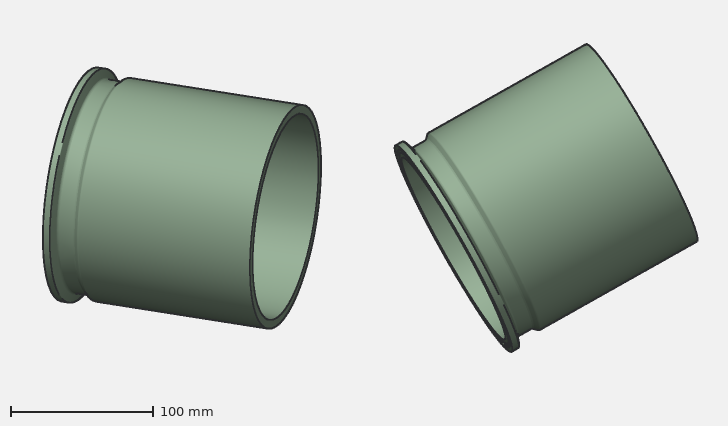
import cadquery as cq
import math

length = 152.4
bore_radius = 146.9 / 2
tube_radius = 159.5 / 2
neck_radius = 152.4 / 2
flange_radius = 166.9 / 2

rim_width = 5.7
flange_taper_angle = 20
rim_fillet = 0.7
neck_fillet = 1.7

shoulder_start = 20.9
shoulder_fillet = 1.8

groove_radius = 78.3
groove_width = 2.8
groove_depth = 1.2
groove_mouth_fillet = 0.7

MATCH_TOLERANCE = 0.02

flange_root = rim_width + (flange_radius - neck_radius) * math.tan(math.radians(flange_taper_angle))
shoulder_end = shoulder_start + tube_radius - neck_radius
groove_inner_radius = groove_radius - groove_width / 2
groove_outer_radius = groove_radius + groove_width / 2


def revolve_about_axis(outline):
    """Turn a closed outline, drawn as X against radius, about the X axis."""
    return outline.revolve(360, (0, 0, 0), (1, 0, 0))


def fillet_circle(body, x, radius, fillet):
    """Round the circular edge of the given radius that lies at position x."""
    matching = [
        edge
        for edge in body.edges("%CIRCLE").vals()
        if math.isclose(edge.Center().x, x, abs_tol=MATCH_TOLERANCE)
        and math.isclose(edge.radius(), radius, abs_tol=MATCH_TOLERANCE)
    ]
    return body.newObject(matching).fillet(fillet)


def ferrule_body():
    """Tube with the clamp flange, neck and shoulder, all edges still sharp."""
    outline = cq.Workplane("XY").polyline([
        (0, bore_radius),
        (0, flange_radius),
        (rim_width, flange_radius),
        (flange_root, neck_radius),
        (shoulder_start, neck_radius),
        (shoulder_end, tube_radius),
        (length, tube_radius),
        (length, bore_radius),
    ]).close()
    return revolve_about_axis(outline)


def gasket_groove():
    """Ring with an arc-shaped section, deepest midway across the groove."""
    section = (
        cq.Workplane("XY")
        .moveTo(0, groove_inner_radius)
        .threePointArc((groove_depth, groove_radius), (0, groove_outer_radius))
        .close()
    )
    return revolve_about_axis(section)


rounded_edges = [
    (rim_width, flange_radius, rim_fillet),
    (flange_root, neck_radius, neck_fillet),
    (shoulder_start, neck_radius, shoulder_fillet),
    (shoulder_end, tube_radius, shoulder_fillet),
    (0, groove_inner_radius, groove_mouth_fillet),
    (0, groove_outer_radius, groove_mouth_fillet),
]

result = ferrule_body().cut(gasket_groove())
for x, radius, fillet in rounded_edges:
    result = fillet_circle(result, x, radius, fillet)